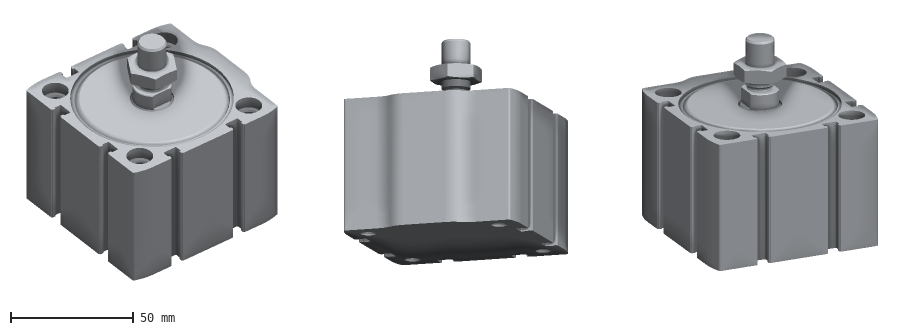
import cadquery as cq
import math

total_height = 84.0
body_width = 75.0
body_height = 55.0
half_width = body_width / 2

side_straight_half = 28.4
side_bow_radius = 25.2
corner_fillet = 1.0

pad_height = 3.5
pad_half_width = 9.2
shoulder_run = 11.8

slot_wall_angles = (0, -90, 180)
slot_offset = 16.0
slot_mouth = 5.1
slot_inner_width = 6.55
slot_lip = 1.9
slot_depth = 5.1
slot_fillet = 0.5

bolt_offset = 28.2
bolt_diameter = 6.6
bolt_chamfer_diameter = 7.9
counterbore_diameter = 11.0
counterbore_depth = 5.0

mouth_diameter = 67.0
mouth_depth = 1.5
rim_diameter = 63.8
rim_drop = 0.5
groove_diameter = 63.0
groove_depth = 1.3
rim_step_diameter = 60.8
rim_step_drop = 0.3
cover_diameter = 59.6

rod_diameter = 16.0
rod_seat_depth = 16.8
rod_entry_diameter = 18.1
rod_entry_depth = 1.0
rod_shoulder_z = 62.0
rod_shoulder_chamfer = 0.3
flat_width = 13.0
flat_bottom_z = 55.4
flat_runout_angle = 30.0
neck_diameter = 9.8
neck_base_diameter = 10.7
neck_bottom_z = 62.7
neck_top_z = 63.25
thread_diameter = 12.0
thread_bottom_z = 64.2
tip_diameter = 10.7
tip_chamfer_height = 0.9

nut_width = 19.0
nut_height = 6.0
nut_bottom_z = 67.0
nut_face_diameter = 18.8
nut_chamfer_angle = 15.0


def housing_block():
    """Extruded profile with bowed sides and the raised pad."""
    corner_rise = half_width - side_straight_half
    bow_inset = side_bow_radius - math.sqrt(side_bow_radius**2 - corner_rise**2)
    half_rise = corner_rise / 2
    mid_inset = side_bow_radius - math.sqrt(side_bow_radius**2 - half_rise**2)
    corner_x = half_width - bow_inset
    mid_x = half_width - mid_inset
    mid_y = side_straight_half + half_rise
    pad_y = half_width + pad_height
    shoulder_mid_x = pad_half_width + shoulder_run / 2
    shoulder_mid_y = half_width + pad_height / 2
    shoulder_end_x = pad_half_width + shoulder_run
    profile = (
        cq.Workplane("XY")
        .moveTo(corner_x, half_width)
        .threePointArc((mid_x, mid_y), (half_width, side_straight_half))
        .lineTo(half_width, -side_straight_half)
        .threePointArc((mid_x, -mid_y), (corner_x, -half_width))
        .lineTo(-corner_x, -half_width)
        .threePointArc((-mid_x, -mid_y), (-half_width, -side_straight_half))
        .lineTo(-half_width, side_straight_half)
        .threePointArc((-mid_x, mid_y), (-corner_x, half_width))
        .lineTo(-shoulder_end_x, half_width)
        .tangentArcPoint((-shoulder_mid_x, shoulder_mid_y), relative=False)
        .tangentArcPoint((-pad_half_width, pad_y), relative=False)
        .lineTo(pad_half_width, pad_y)
        .tangentArcPoint((shoulder_mid_x, shoulder_mid_y), relative=False)
        .tangentArcPoint((shoulder_end_x, half_width), relative=False)
        .close()
    )
    block = profile.extrude(body_height)
    corner_points = [(sx * corner_x, sy * half_width) for sx in (-1, 1) for sy in (-1, 1)]
    for x, y in corner_points:
        corner_edge = cq.selectors.NearestToPointSelector((x, y, body_height / 2))
        block = block.edges(corner_edge).fillet(corner_fillet)
    return block


def slot_cutter():
    """T-slot through the +X wall, centred on y = 0, with rounded mouth edges and floor corners."""
    mouth = slot_mouth / 2
    inner = slot_inner_width / 2
    lip_x = half_width - slot_lip
    floor_x = half_width - slot_depth
    round_start = mouth + slot_fillet
    round_x = half_width - slot_fillet
    outline = (
        cq.Workplane("XY")
        .moveTo(half_width, round_start)
        .radiusArc((round_x, mouth), -slot_fillet)
        .lineTo(lip_x, mouth)
        .lineTo(lip_x, inner)
        .lineTo(floor_x, inner)
        .lineTo(floor_x, -inner)
        .lineTo(lip_x, -inner)
        .lineTo(lip_x, -mouth)
        .lineTo(round_x, -mouth)
        .radiusArc((half_width, -round_start), -slot_fillet)
        .close()
    )
    return outline.extrude(body_height).faces("<X").edges("|Z").fillet(slot_fillet)


def bolt_hole_cutter():
    """Through hole with a chamfered start and a counterbore at the top."""
    floor_z = body_height - counterbore_depth
    bolt_radius = bolt_diameter / 2
    chamfer_radius = bolt_chamfer_diameter / 2
    counterbore_radius = counterbore_diameter / 2
    return (
        cq.Workplane("XZ")
        .polyline([
            (0, 0),
            (bolt_radius, 0),
            (bolt_radius, floor_z - (chamfer_radius - bolt_radius)),
            (chamfer_radius, floor_z),
            (counterbore_radius, floor_z),
            (counterbore_radius, body_height),
            (0, body_height),
        ])
        .close()
        .revolve(360, (0, 0), (0, 1))
    )


def cover_face_cutter():
    """Stepped ring groove between the end cover and the housing wall."""
    rim_z = body_height - rim_drop
    return (
        cq.Workplane("XZ")
        .polyline([
            (cover_diameter / 2, body_height),
            (rim_step_diameter / 2, body_height - rim_step_drop),
            (groove_diameter / 2, body_height - groove_depth),
            (rim_diameter / 2, rim_z),
            (mouth_diameter / 2, body_height - mouth_depth),
            (mouth_diameter / 2, body_height),
        ])
        .close()
        .revolve(360, (0, 0), (0, 1))
    )


def rod_bore_cutter():
    """Blind bore that holds the rod, ringed by a V-shaped wiper groove."""
    bore_radius = rod_diameter / 2
    entry_radius = rod_entry_diameter / 2
    return (
        cq.Workplane("XZ")
        .polyline([
            (0, body_height - rod_seat_depth),
            (bore_radius, body_height - rod_seat_depth),
            (bore_radius, body_height),
            (entry_radius, body_height - rod_entry_depth),
            (entry_radius, body_height),
            (0, body_height),
        ])
        .close()
        .revolve(360, (0, 0), (0, 1))
    )


def make_housing():
    body = housing_block()
    for offset in (-slot_offset, slot_offset):
        slot = slot_cutter().translate((0, offset, 0))
        for angle in slot_wall_angles:
            body = body.cut(slot.rotate((0, 0, 0), (0, 0, 1), angle))
    for sx in (-1, 1):
        for sy in (-1, 1):
            body = body.cut(bolt_hole_cutter().translate((sx * bolt_offset, sy * bolt_offset, 0)))
    return body.cut(cover_face_cutter()).cut(rod_bore_cutter())


def make_rod():
    """Piston rod with two wrench flats, a relief neck and a threaded end."""
    rod_radius = rod_diameter / 2
    thread_radius = thread_diameter / 2
    rod = (
        cq.Workplane("XZ")
        .polyline([
            (0, body_height - rod_seat_depth),
            (rod_radius, body_height - rod_seat_depth),
            (rod_radius, rod_shoulder_z - rod_shoulder_chamfer),
            (rod_radius - rod_shoulder_chamfer, rod_shoulder_z),
            (neck_base_diameter / 2, rod_shoulder_z),
            (neck_diameter / 2, neck_bottom_z),
            (neck_diameter / 2, neck_top_z),
            (thread_radius, thread_bottom_z),
            (thread_radius, total_height - tip_chamfer_height),
            (tip_diameter / 2, total_height),
            (0, total_height),
        ])
        .close()
        .revolve(360, (0, 0), (0, 1))
    )
    flat_x = flat_width / 2
    runout_z = flat_bottom_z - (rod_radius - flat_x) * math.tan(math.radians(flat_runout_angle))
    flat_cutter = (
        cq.Workplane("XZ")
        .polyline([
            (flat_x, flat_bottom_z),
            (rod_radius, runout_z),
            (rod_radius, rod_shoulder_z),
            (flat_x, rod_shoulder_z),
        ])
        .close()
        .extrude(rod_radius, both=True)
    )
    for angle in (0, 180):
        rod = rod.cut(flat_cutter.rotate((0, 0, 0), (0, 0, 1), angle))
    return rod


def make_nut():
    """Hexagon nut with flats facing +X and -X and both faces chamfered at the corners."""
    corner_diameter = nut_width / math.cos(math.pi / 6)
    corner_radius = corner_diameter / 2
    face_radius = nut_face_diameter / 2
    chamfer_height = (corner_radius - face_radius) * math.tan(math.radians(nut_chamfer_angle))
    hexagon = (
        cq.Workplane("XY")
        .polygon(6, corner_diameter)
        .extrude(nut_height)
        .rotate((0, 0, 0), (0, 0, 1), 30)
    )
    envelope = (
        cq.Workplane("XZ")
        .polyline([
            (0, 0),
            (face_radius, 0),
            (corner_radius, chamfer_height),
            (corner_radius, nut_height - chamfer_height),
            (face_radius, nut_height),
            (0, nut_height),
        ])
        .close()
        .revolve(360, (0, 0), (0, 1))
    )
    bore = cq.Workplane("XY").circle(thread_diameter / 2).extrude(nut_height)
    return hexagon.intersect(envelope).cut(bore).translate((0, 0, nut_bottom_z))


housing = make_housing()
rod = make_rod()
nut = make_nut()

result = cq.Compound.makeCompound([housing.val(), rod.val(), nut.val()])